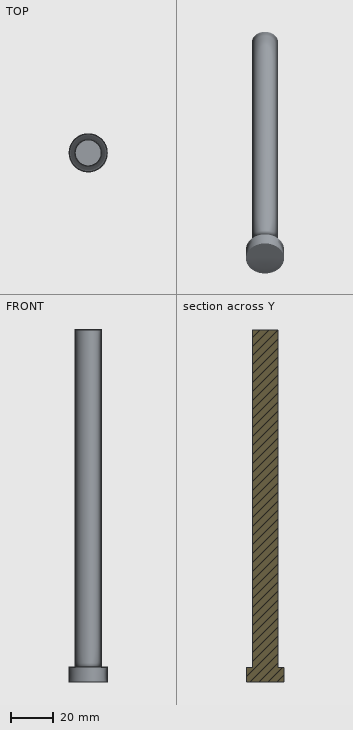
import cadquery as cq

total_length = 167.0
head_diameter = 18.0
head_height = 7.0
shank_diameter = 12.4
neck_fillet_radius = 0.3

shank_radius = shank_diameter / 2
neck_radius = shank_radius + neck_fillet_radius
neck_top = head_height + neck_fillet_radius

profile = (
    cq.Workplane("XZ")
    .lineTo(head_diameter / 2, 0)
    .lineTo(head_diameter / 2, head_height)
    .lineTo(neck_radius, head_height)
    .radiusArc((shank_radius, neck_top), neck_fillet_radius)
    .lineTo(shank_radius, total_length)
    .lineTo(0, total_length)
    .close()
)

result = profile.revolve(360, (0, 0, 0), (0, 1, 0))